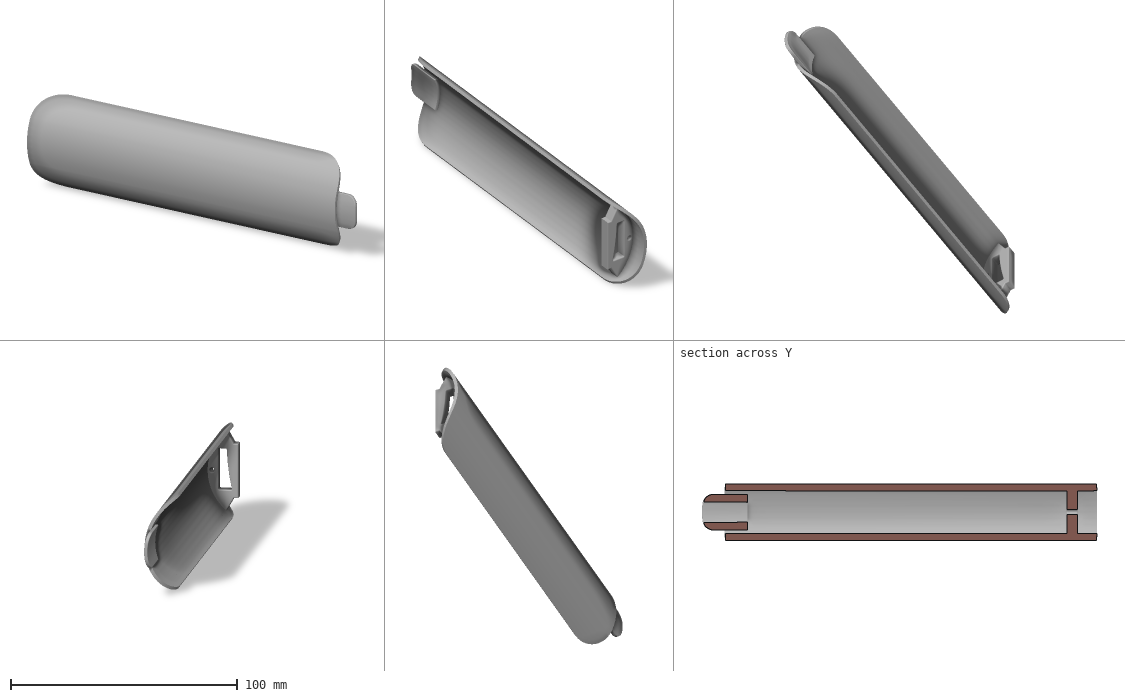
import cadquery as cq
import math

shell_length = 164.36
outer_radius = 25.0
wall = 1.5
half_angle = 60.0
shell_corner_radius = 15.0
inner_radius = outer_radius - wall

plate_start = 8.5
plate_thickness = 5.0
plate_back_y = -9.8
plate_step_depth = 2.0
plate_half_height = 12.3
plate_foot_half_height = 18.7
plate_edge_rounding = 0.5
plate_seat_radius = inner_radius + wall / 2

window_front_y = -18.7
window_top_z = 10.0
window_bottom_z = -8.7
window_top_back_y = -15.0
window_middle_back_y = -14.4
window_middle_z = 2.1
window_bottom_back_y = -12.6
window_corner_radius = 0.5

hole_diameter = 2.0
hole_y = -21.6

tongue_reach = 10.0
tongue_root = 10.0
tongue_thickness = 1.5
tongue_half_width = 8.0
tongue_corner_radius = 5.0
tongue_end_radius = 35.0
tongue_edge_rounding = 0.3


def on_arc(radius, angle):
    """(y, z) at a radius, with the angle in degrees measured from -Y toward +Z."""
    a = math.radians(angle)
    return (-radius * math.cos(a), radius * math.sin(a))


def tube_sector(start_x, length, outer, inner):
    """Tube sector with radial edges, symmetric about the XY plane."""
    return (
        cq.Workplane("YZ", origin=(start_x, 0, 0))
        .moveTo(*on_arc(outer, -half_angle))
        .threePointArc((-outer, 0), on_arc(outer, half_angle))
        .lineTo(*on_arc(inner, half_angle))
        .threePointArc((-inner, 0), on_arc(inner, -half_angle))
        .close()
        .extrude(length)
    )


def corner_cutter():
    """Waste outside the rounded corner at the start of the shell's +Z edge."""
    r = shell_corner_radius
    waste = (
        cq.Workplane("XZ")
        .lineTo(r, 0)
        .radiusArc((0, -r), -r)
        .close()
        .extrude(outer_radius + wall)
    )
    return waste.rotate((0, 0, 0), (1, 0, 0), -half_angle)


def make_shell():
    """Trough with all four corners rounded."""
    shell = tube_sector(0, shell_length, outer_radius, inner_radius)
    start_cutter = corner_cutter()
    end_cutter = start_cutter.mirror("YZ").translate((shell_length, 0, 0))
    for cutter in (start_cutter, end_cutter):
        shell = shell.cut(cutter).cut(cutter.mirror("XY"))
    return shell


def make_plate():
    """Cross wall with its window and hole, every rim on both flat faces rounded."""
    step_y = plate_back_y - plate_step_depth
    foot_y = -math.sqrt(plate_seat_radius**2 - plate_foot_half_height**2)
    plate = (
        cq.Workplane("YZ", origin=(plate_start, 0, 0))
        .moveTo(plate_back_y, -plate_half_height)
        .lineTo(plate_back_y, plate_half_height)
        .lineTo(step_y, plate_half_height)
        .lineTo(foot_y, plate_foot_half_height)
        .threePointArc((-plate_seat_radius, 0), (foot_y, -plate_foot_half_height))
        .lineTo(step_y, -plate_half_height)
        .close()
        .extrude(plate_thickness)
    )
    window = (
        cq.Workplane("YZ", origin=(plate_start, 0, 0))
        .moveTo(window_front_y, window_bottom_z)
        .lineTo(window_front_y, window_top_z)
        .lineTo(window_top_back_y, window_top_z)
        .threePointArc((window_middle_back_y, window_middle_z), (window_bottom_back_y, window_bottom_z))
        .close()
        .extrude(plate_thickness)
        .edges("|X")
        .fillet(window_corner_radius)
    )
    hole = (
        cq.Workplane("YZ", origin=(plate_start, hole_y, 0))
        .circle(hole_diameter / 2)
        .extrude(plate_thickness)
    )
    plate = plate.cut(window).cut(hole)
    return plate.faces("<X or >X").edges().fillet(plate_edge_rounding)


def make_tongue():
    """Curved tab with a rounded, slightly bowed tip, all edges eased except at the root."""
    start_x = shell_length - tongue_root
    tip_x = shell_length + tongue_reach
    side_x = tip_x - tongue_end_radius + math.sqrt(tongue_end_radius**2 - tongue_half_width**2)
    blank = (
        cq.Workplane("XZ")
        .moveTo(start_x, -tongue_half_width)
        .lineTo(side_x, -tongue_half_width)
        .threePointArc((tip_x, 0), (side_x, tongue_half_width))
        .lineTo(start_x, tongue_half_width)
        .close()
        .extrude(outer_radius)
    )
    tip_corners = blank.faces("<Z or >Z").edges("|Y and >X")
    blank = tip_corners.fillet(tongue_corner_radius)
    length = tongue_root + tongue_reach
    layer = tube_sector(start_x, length, inner_radius, inner_radius - tongue_thickness)
    tongue = blank.intersect(layer)
    return tongue.edges("not <X").fillet(tongue_edge_rounding)


result = make_shell().union(make_plate()).union(make_tongue())